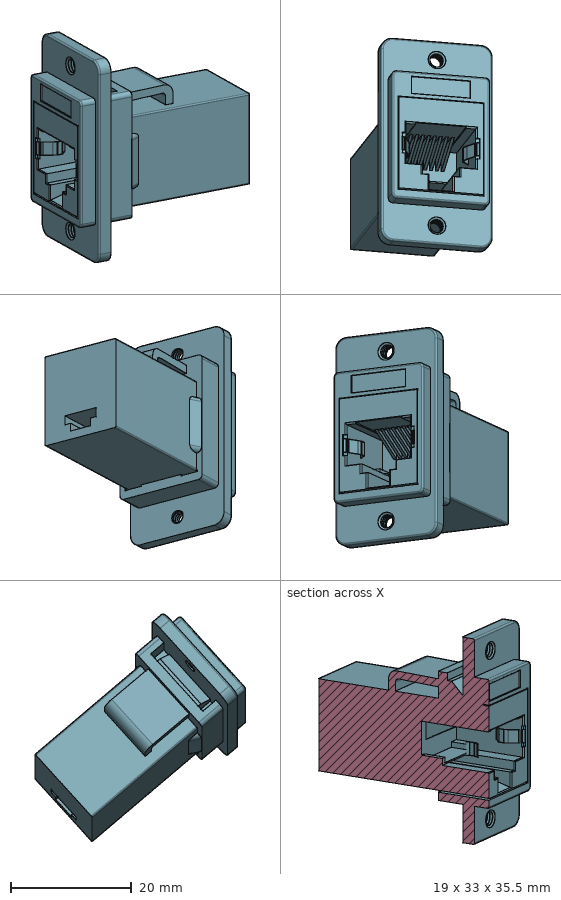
import cadquery as cq


FLANGE_WIDTH = 19.0
FLANGE_HEIGHT = 35.5
FLANGE_FRONT_Y = 2.8
FLANGE_BACK_Y = 5.12
FLANGE_CORNER_RADIUS = 2.0
EDGE_ROUND = 0.3

HOUSING_WIDTH = 16.7
HOUSING_HEIGHT = 22.3
HOUSING_BACK_Y = 9.8
HOUSING_CORNER_RADIUS = 0.8

HOLE_OFFSET_Z = 14.5
THREAD_MINOR_DIA = 2.26
THREAD_MAJOR_DIA = 3.0
THREAD_PITCH = 0.5
THREAD_FLAT = THREAD_PITCH / 8

LABEL_WIDTH = 10.1
LABEL_HEIGHT = 3.0
LABEL_CENTER_Z = 8.83
LABEL_DEPTH = 0.3

BODY_WIDTH = 14.4
BODY_TOP_Z = 6.55
BODY_BOTTOM_Z = -9.4
BODY_BACK_Y = 33.0
BODY_EDGE_ROUND = 0.25

SIDE_GAP = 0.15
TOP_GAP = 0.12
BOTTOM_GAP = 0.25
GAP_DEPTH = 1.0
BOTTOM_BRIDGE_WIDTH = 8.1

ARM_WIDTH = 10.3
ARM_THICKNESS = 1.42
ARM_BACK_Y = 19.5
ARM_BACK_TOP_Z = 10.12
ARM_TIP_TOP_Z = 9.82
ARM_OUTER_RADIUS = 1.6
ARM_INNER_RADIUS = 0.6
ARM_RAMP_Y = 7.2
ARM_RAMP_DROP = 2.08
WINDOW_WIDTH = 13.1
WINDOW_BACK_Y = 8.0

WEDGE_REACH_X = 8.2
WEDGE_BACK_Y = 11.75
WEDGE_TOP_Z = 3.55
WEDGE_BOTTOM_Z = -6.35
WEDGE_ROOT_X = 6.7
WEDGE_END_ROUND = 0.87

CAVITY_HALF_WIDTH = 5.94
CAVITY_TOP_Z = 2.03
CAVITY_BOTTOM_Z = -4.93
CAVITY_DEPTH = 13.0
SHOULDER_DEPTH = 9.0
SHOULDER_TOP_Z = -3.74
INNER_BOTTOM_Z = -4.68
MOUTH_DEPTH = 0.2
MOUTH_SIDE_FLARE = 0.25
MOUTH_TOP_FLARE = 0.33
MOUTH_LEDGE_FLARE = 0.12

STEP_HALF_WIDTH = 3.17
STEP_BOTTOM_Z = -6.54
KEY_HALF_WIDTH = 2.0
KEY_FRONT_Z = -9.2
KEY_REAR_Z = -7.92
KEY_RAMP_LENGTH = 5.0

CONTACT_COUNT = 8
CONTACT_PITCH = 1.01
CONTACT_WIDTH = 0.5
CONTACT_TIP_Z = -1.38
CONTACT_FRONT_Y = 6.0
CONTACT_GROOVE_HALF_WIDTH = 4.32
CONTACT_GROOVE_TOP_Z = 2.25

NOTCH_HALF_WIDTH = 6.66
NOTCH_TOP_Z = 0.4
NOTCH_BOTTOM_Z = -3.2
NOTCH_DEPTH = 0.4
SPRING_TOP_Z = -0.29
SPRING_BOTTOM_Z = -2.59
SPRING_THICKNESS = 0.2
SPRING_FRONT_X = 6.55
SPRING_FRONT_Y = 0.1
SPRING_BEND_X = 6.07
SPRING_BEND_Y = 0.4
SPRING_SHOULDER_X = 4.95
SPRING_SHOULDER_Y = 2.4
SPRING_TIP_X = 4.64
SPRING_TIP_START_Y = 3.1
SPRING_TIP_END_Y = 4.0
SPRING_BACK_Y = 6.0


def block(x0, x1, y0, y1, z0, z1):
    """Box spanning the given limits."""
    return cq.Workplane("XY").box(x1 - x0, y1 - y0, z1 - z0, centered=False).translate((x0, y0, z0))


def centered_block(width, y0, y1, z0, z1):
    """Box symmetric about X = 0."""
    return block(-width / 2, width / 2, y0, y1, z0, z1)


def side_profile(points, width, center_x=0.0):
    """Prism of (y, z) points, extruded along X about center_x."""
    prism = cq.Workplane("YZ").polyline(points).close().extrude(width / 2, both=True)
    return prism.translate((center_x, 0, 0))


def plan_profile(points, z0, z1):
    """Prism of (x, y) points between two heights."""
    return cq.Workplane("XY").workplane(offset=z0).polyline(points).close().extrude(z1 - z0)


def both_sides(shape):
    """Shape together with its mirror image across X = 0."""
    return shape.union(shape.mirror("YZ"))


def rounded_plate(width, height, corner_radius, front_y, back_y):
    """Upright plate with rounded corners and a rounded front rim."""
    plate = centered_block(width, front_y, back_y, -height / 2, height / 2)
    return plate.edges("|Y").fillet(corner_radius).faces("<Y").edges().fillet(EDGE_ROUND)


def threaded_hole(center_z):
    """Cutter for a through hole with ring-shaped thread grooves, open at the front face."""
    minor = THREAD_MINOR_DIA / 2
    major = THREAD_MAJOR_DIA / 2
    points = [(0, FLANGE_FRONT_Y), (major, FLANGE_FRONT_Y)]
    turns = int((FLANGE_BACK_Y - FLANGE_FRONT_Y) / THREAD_PITCH)
    for turn in range(turns):
        root_y = FLANGE_FRONT_Y + turn * THREAD_PITCH
        crest_y = root_y + THREAD_PITCH / 2
        points.append((major, root_y + THREAD_FLAT))
        points.append((minor, crest_y))
        points.append((minor, crest_y + THREAD_FLAT))
        points.append((major, root_y + THREAD_PITCH))
    points.append((minor, FLANGE_FRONT_Y + turns * THREAD_PITCH))
    points += [(minor, FLANGE_BACK_Y), (0, FLANGE_BACK_Y)]
    cutter = cq.Workplane("XY").polyline(points).close().revolve(360, (0, 0, 0), (0, 1, 0))
    return cutter.translate((0, 0, center_z))


def make_frame():
    """Flange and housing with mounting holes, label recess and latch window."""
    flange = rounded_plate(FLANGE_WIDTH, FLANGE_HEIGHT, FLANGE_CORNER_RADIUS, FLANGE_FRONT_Y, FLANGE_BACK_Y)
    housing = rounded_plate(HOUSING_WIDTH, HOUSING_HEIGHT, HOUSING_CORNER_RADIUS, 0, HOUSING_BACK_Y)
    frame = flange.union(housing)
    for center_z in (HOLE_OFFSET_Z, -HOLE_OFFSET_Z):
        frame = frame.cut(threaded_hole(center_z))
    label_bottom = LABEL_CENTER_Z - LABEL_HEIGHT / 2
    frame = frame.cut(centered_block(LABEL_WIDTH, 0, LABEL_DEPTH, label_bottom, label_bottom + LABEL_HEIGHT))
    window = centered_block(WINDOW_WIDTH, FLANGE_BACK_Y, WINDOW_BACK_Y, BODY_TOP_Z, HOUSING_HEIGHT / 2)
    return frame.cut(window)


def make_clearance():
    """Cutter for the gap around the coupler; only the bottom gap runs right through."""
    half = BODY_WIDTH / 2 + SIDE_GAP
    low = BODY_BOTTOM_Z - BOTTOM_GAP
    opening = centered_block(2 * half, 0, GAP_DEPTH, low, BODY_TOP_Z + TOP_GAP)
    ring = opening.cut(centered_block(BODY_WIDTH, 0, GAP_DEPTH, BODY_BOTTOM_Z, BODY_TOP_Z))
    slit = block(BOTTOM_BRIDGE_WIDTH / 2, half, 0, HOUSING_BACK_Y, low, BODY_BOTTOM_Z)
    return ring.union(both_sides(slit))


def make_rear_body():
    """Coupler body behind the housing."""
    body = centered_block(BODY_WIDTH, HOUSING_BACK_Y, BODY_BACK_Y, BODY_BOTTOM_Z, BODY_TOP_Z)
    return body.edges("|Y").fillet(BODY_EDGE_ROUND)


def make_latch_arm():
    """Hooked arm rising from the body and running forward into the window."""
    outer = [
        (ARM_BACK_Y, BODY_TOP_Z),
        (ARM_BACK_Y, ARM_BACK_TOP_Z),
        (ARM_RAMP_Y, ARM_TIP_TOP_Z),
        (FLANGE_BACK_Y, ARM_TIP_TOP_Z - ARM_RAMP_DROP),
        (FLANGE_BACK_Y, BODY_TOP_Z),
    ]
    inner = [
        (ARM_BACK_Y - ARM_THICKNESS, BODY_TOP_Z),
        (ARM_BACK_Y - ARM_THICKNESS, ARM_BACK_TOP_Z - ARM_THICKNESS),
        (HOUSING_BACK_Y, ARM_TIP_TOP_Z - ARM_THICKNESS),
        (HOUSING_BACK_Y, BODY_TOP_Z),
    ]
    hook = side_profile(outer, ARM_WIDTH).edges(">Y and >Z").fillet(ARM_OUTER_RADIUS)
    opening = side_profile(inner, ARM_WIDTH).edges(">Y and >Z").fillet(ARM_INNER_RADIUS)
    return hook.cut(opening)


def make_wedges():
    """Tapered retaining wedges on both flanks of the body, rounded over at their ends."""
    half = BODY_WIDTH / 2
    taper = (WEDGE_BACK_Y - HOUSING_BACK_Y) / (WEDGE_REACH_X - half)
    root_y = WEDGE_BACK_Y + taper * (half - WEDGE_ROOT_X)
    ramp = [(WEDGE_ROOT_X, HOUSING_BACK_Y), (WEDGE_REACH_X, HOUSING_BACK_Y), (WEDGE_ROOT_X, root_y)]
    wedge = plan_profile(ramp, WEDGE_BOTTOM_Z, WEDGE_TOP_Z)
    return both_sides(wedge.edges("not(|X or |Y or |Z)").fillet(WEDGE_END_ROUND))


def plug_outline(side, top, ledge, key_bottom_z):
    """Plug outline grown by side in X, by top at the roof and by ledge at the ledges."""
    right = [
        (CAVITY_HALF_WIDTH + side, CAVITY_TOP_Z + top),
        (CAVITY_HALF_WIDTH + side, CAVITY_BOTTOM_Z - ledge),
        (STEP_HALF_WIDTH + side, CAVITY_BOTTOM_Z - ledge),
        (STEP_HALF_WIDTH + side, STEP_BOTTOM_Z - ledge),
        (KEY_HALF_WIDTH + side, STEP_BOTTOM_Z - ledge),
        (KEY_HALF_WIDTH + side, key_bottom_z),
    ]
    return right + [(-x, z) for x, z in reversed(right)]


def make_cavity():
    """Cutter for the plug cavity, its flared mouth and the latch slot through to the rear."""
    flared = plug_outline(MOUTH_SIDE_FLARE, MOUTH_TOP_FLARE, MOUTH_LEDGE_FLARE, BODY_BOTTOM_Z)
    straight = plug_outline(0, 0, 0, KEY_FRONT_Z)
    mouth = cq.Workplane("XZ").polyline(flared).close()
    mouth = mouth.workplane(offset=-MOUTH_DEPTH).polyline(straight).close().loft(ruled=True)

    front = centered_block(2 * CAVITY_HALF_WIDTH, 0, SHOULDER_DEPTH, CAVITY_BOTTOM_Z, CAVITY_TOP_Z)
    upper = centered_block(2 * CAVITY_HALF_WIDTH, 0, CAVITY_DEPTH, SHOULDER_TOP_Z, CAVITY_TOP_Z)
    groove_width = 2 * CONTACT_GROOVE_HALF_WIDTH
    lower = centered_block(groove_width, 0, CAVITY_DEPTH, INNER_BOTTOM_Z, CONTACT_GROOVE_TOP_Z)
    step = centered_block(2 * STEP_HALF_WIDTH, 0, BODY_BACK_Y, STEP_BOTTOM_Z, CAVITY_BOTTOM_Z)
    key = side_profile(
        [
            (0, KEY_FRONT_Z),
            (MOUTH_DEPTH, KEY_FRONT_Z),
            (KEY_RAMP_LENGTH, KEY_REAR_Z),
            (BODY_BACK_Y, KEY_REAR_Z),
            (BODY_BACK_Y, STEP_BOTTOM_Z),
            (0, STEP_BOTTOM_Z),
        ],
        2 * KEY_HALF_WIDTH,
    )
    notches = centered_block(2 * NOTCH_HALF_WIDTH, 0, NOTCH_DEPTH, NOTCH_BOTTOM_Z, NOTCH_TOP_Z)
    cavity = mouth
    for cutter in (front, upper, lower, step, key, notches):
        cavity = cavity.union(cutter)
    return cavity


def make_contacts():
    """Row of contacts sloping from the cavity roof down to its back wall."""
    slope = [
        (CONTACT_FRONT_Y, CONTACT_GROOVE_TOP_Z),
        (CAVITY_DEPTH, CONTACT_GROOVE_TOP_Z),
        (CAVITY_DEPTH, CONTACT_TIP_Z),
    ]
    contacts = cq.Workplane("XY")
    for index in range(CONTACT_COUNT):
        center_x = (index - (CONTACT_COUNT - 1) / 2) * CONTACT_PITCH
        contacts = contacts.add(side_profile(slope, CONTACT_WIDTH, center_x))
    return contacts.combine()


def make_springs():
    """Thin bent shield springs bulging into the cavity from the side notches."""
    bulge = [
        (NOTCH_HALF_WIDTH, SPRING_FRONT_Y),
        (SPRING_FRONT_X, SPRING_FRONT_Y),
        (SPRING_BEND_X, SPRING_BEND_Y),
        (SPRING_SHOULDER_X, SPRING_SHOULDER_Y),
        (SPRING_TIP_X, SPRING_TIP_START_Y),
        (SPRING_TIP_X, SPRING_TIP_END_Y),
        (NOTCH_HALF_WIDTH, SPRING_BACK_Y),
    ]
    solid = plan_profile(bulge, SPRING_BOTTOM_Z, SPRING_TOP_Z)
    return both_sides(solid.cut(solid.translate((SPRING_THICKNESS, 0, 0))))


result = (
    make_frame()
    .union(make_rear_body())
    .cut(make_clearance())
    .union(make_latch_arm())
    .union(make_wedges())
    .cut(make_cavity())
    .union(make_contacts())
    .union(make_springs())
)